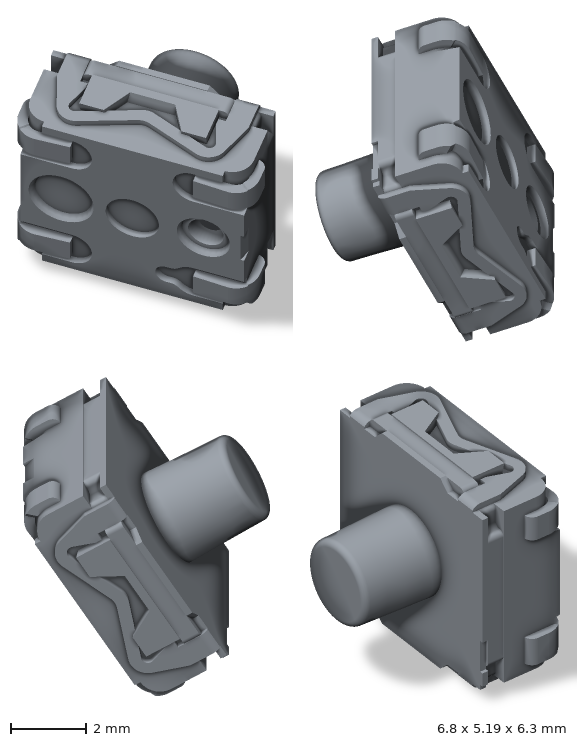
import cadquery as cq
import math

HALF_WIDTH = 3.155
HALF_HEIGHT = 2.815
HOUSING_BACK = 1.87
FLOOR = 0.18
STEP_HALF_WIDTH = 2.55
CORNER_RADIUS = HALF_WIDTH - STEP_HALF_WIDTH
CORNER_TOP = FLOOR + CORNER_RADIUS

TERMINAL_Z = 1.97
RECESS_END_X = 1.715
RECESS_RADIUS = 0.545
RECESS_DRAFT = 10.0
BUMP_X = 0.96
BUMP_RADIUS = 0.28
BUMP_BLEND = 0.37
TERMINAL_TOP = 1.18
TERMINAL_HALF_WIDTH = 3.4
TERMINAL_FRONT = -0.11
SHOULDER_RADIUS = 0.27
BEND_RADIUS = 0.665
PAD_END_X = 1.735
PAD_END_Y = -0.06
PAD_INNER_Z = 1.665
PAD_OUTER_Z = 2.34
BEND_INNER_Z = 1.62
BEND_OUTER_Z_UPPER = 2.37
BEND_OUTER_Z_LOWER = 2.48

DRAFT_SLOPE = math.tan(math.radians(RECESS_DRAFT))
BAND_HALF_FLOOR = TERMINAL_Z - RECESS_RADIUS
BAND_HALF_FRONT = BAND_HALF_FLOOR - FLOOR * DRAFT_SLOPE
BAND_HALF_BACK = BAND_HALF_FRONT + CORNER_TOP * DRAFT_SLOPE

COVER_UNDERSIDE = 2.38
CORE_HALF_WIDTH = 3.135
CORE_NECK_HALF_WIDTH = 2.795
CORE_SIDE_HALF = 2.12
CORE_EDGE_RADIUS = 0.155
CORE_INSIDE_RADIUS = 0.14
CORE_TAB_HALF_WIDTH = 2.055
CORE_TAB_TOP = 3.1

COVER_TOP = 2.57
COVER_HALF_WIDTH = CORE_HALF_WIDTH
COVER_TAB_TOP = 3.13
COVER_TAB_HALF = 1.28
COVER_TAB_ROOT_HALF = 1.6
COVER_NOTCH_TOP = -1.21
COVER_NOTCH_BOTTOM = -2.22
COVER_SETBACK = 0.1
COVER_STEP_TOP = -2.65
CLIP_OUTER_Z = 3.01
CLIP_OUTER_X = 2.7
CLIP_INNER_X = CORE_TAB_HALF_WIDTH
CLIP_STEP_X = 1.84
CLIP_STEP_Y = 1.65
CLIP_TOE_X = 2.19
CLIP_TOE_OUTER_Y = 0.135
CLIP_TOE_INNER_Y = 0.5
CLIP_APEX_OUTER_Y = 0.965
CLIP_APEX_INNER_Y = 1.33
CLIP_OUTER_BEND_Y = 1.64
CLIP_INNER_BEND_Y = 1.475
CLIP_TOE_OUTER_RADIUS = 0.53
CLIP_TOE_INNER_RADIUS = 0.18
CLIP_APEX_RADIUS = 0.475
CLIP_FOLD_Y = 2.325
CLIP_FOLD_DROP = 0.135

HOOK_HALF_WIDTH = 1.79
HOOK_BOTTOM = 0.82
HOOK_UNDERCUT = 0.075
HOOK_OUTER_Z = 3.15
HOOK_NOTCH_HALF_WIDE = 1.095
HOOK_NOTCH_HALF_NARROW = 0.63
HOOK_NOTCH_TOP = 1.63
HOOK_NOTCH_ROOT = 1.54

DIMPLE_DEPTH = 0.2
SIDE_DIMPLE_X = 2.005
LEFT_MOUTH_RADIUS = 0.92
LEFT_FLOOR_RADIUS = 0.795
SMALL_MOUTH_RADIUS = 1.5 / 2
RIGHT_FLOOR_RADIUS = 0.66
INNER_MOUTH_RADIUS = 0.5
INNER_FLOOR_RADIUS = 0.36
INNER_DEPTH = 0.41

EDGE_NOTCH_HALF = 0.5
EDGE_NOTCH_DEPTH = 0.11
EDGE_NOTCH_LENGTH = 0.34

PLUNGER_END = 5.08
PLUNGER_BASE_RADIUS = 1.34
PLUNGER_END_RADIUS = 1.26
PLUNGER_FILLET = 0.185

OVERLAP = 0.07
TOLERANCE = 0.001


def block(x0, x1, y0, y1, z0, z1):
    """Box between two corners."""
    return cq.Workplane("XY").box(x1 - x0, y1 - y0, z1 - z0, centered=False).translate((x0, y0, z0))


def mirror_x(shape):
    return shape.mirror("YZ")


def mirror_z(shape):
    return shape.mirror("XY")


def along_z(points, z0, z1):
    """Prism along Z over an XY outline."""
    return cq.Workplane("XY").workplane(offset=z0).polyline(points).close().extrude(z1 - z0)


def along_x(points, half_length):
    """Prism centred on X = 0 over a YZ outline."""
    return cq.Workplane("YZ").polyline(points).close().extrude(half_length, both=True)


def along_y(points, y0, y1):
    """Prism along Y over an XZ outline."""
    return cq.Workplane("XZ", origin=(0, y1, 0)).polyline(points).close().extrude(y1 - y0)


def cone_cut(x, y, mouth_radius, floor_radius, depth):
    """Round tapered hole entering along +Y."""
    axis = cq.Vector(0, 1, 0)
    return cq.Workplane(cq.Solid.makeCone(mouth_radius, floor_radius, depth, cq.Vector(x, y, 0), axis))


def corner_relief():
    """Material removed at the -X front edge, above and below the middle band.

    Above the band the rounding starts at once; below it a flat shelf runs on to the terminal.
    """
    edge = (
        cq.Workplane("XY").workplane(offset=-HALF_HEIGHT)
        .moveTo(-STEP_HALF_WIDTH, 0)
        .lineTo(-STEP_HALF_WIDTH, FLOOR)
        .radiusArc((-HALF_WIDTH, CORNER_TOP), CORNER_RADIUS)
        .lineTo(-HALF_WIDTH, 0)
        .close()
        .extrude(2 * HALF_HEIGHT)
    )
    band = along_x(
        [
            (0, BAND_HALF_FRONT),
            (CORNER_TOP, BAND_HALF_BACK),
            (CORNER_TOP, -PAD_INNER_Z),
            (FLOOR, -PAD_INNER_Z),
            (FLOOR, -BAND_HALF_FLOOR),
            (0, -BAND_HALF_FRONT),
        ],
        HALF_WIDTH,
    )
    return edge.cut(band)


def recess():
    """Drafted recess behind the upper -X pad, open to the side."""
    return (
        cq.Workplane("XZ", origin=(0, FLOOR, 0))
        .moveTo(-TERMINAL_HALF_WIDTH, TERMINAL_Z + RECESS_RADIUS)
        .lineTo(-RECESS_END_X, TERMINAL_Z + RECESS_RADIUS)
        .threePointArc(
            (RECESS_RADIUS - RECESS_END_X, TERMINAL_Z), (-RECESS_END_X, TERMINAL_Z - RECESS_RADIUS)
        )
        .lineTo(-TERMINAL_HALF_WIDTH, TERMINAL_Z - RECESS_RADIUS)
        .close()
        .extrude(FLOOR, taper=-RECESS_DRAFT)
    )


def keyed_recess():
    """Lower +X recess, whose round end carries a smaller, smoothly blended bump."""
    reach = RECESS_RADIUS + BUMP_BLEND
    rise = BUMP_RADIUS + BUMP_BLEND
    run = math.sqrt(reach**2 - rise**2)
    blend_x = RECESS_END_X - run
    share = RECESS_RADIUS / reach
    join_x = RECESS_END_X - run * share
    join_rise = rise * share
    top = -TERMINAL_Z + RECESS_RADIUS
    bottom = -TERMINAL_Z - RECESS_RADIUS
    return (
        cq.Workplane("XZ", origin=(0, FLOOR, 0))
        .moveTo(TERMINAL_HALF_WIDTH, top)
        .lineTo(RECESS_END_X, top)
        .radiusArc((join_x, -TERMINAL_Z + join_rise), -RECESS_RADIUS)
        .radiusArc((blend_x, -TERMINAL_Z + BUMP_RADIUS), BUMP_BLEND)
        .lineTo(BUMP_X, -TERMINAL_Z + BUMP_RADIUS)
        .threePointArc((BUMP_X - BUMP_RADIUS, -TERMINAL_Z), (BUMP_X, -TERMINAL_Z - BUMP_RADIUS))
        .lineTo(blend_x, -TERMINAL_Z - BUMP_RADIUS)
        .radiusArc((join_x, -TERMINAL_Z - join_rise), BUMP_BLEND)
        .radiusArc((RECESS_END_X, bottom), -RECESS_RADIUS)
        .lineTo(TERMINAL_HALF_WIDTH, bottom)
        .close()
        .extrude(FLOOR, taper=-RECESS_DRAFT)
    )


def edge_notch():
    """Sloping notch in the +X edge of the front face."""
    outline = [
        (HALF_WIDTH - EDGE_NOTCH_DEPTH, 0),
        (HALF_WIDTH, 0),
        (HALF_WIDTH, EDGE_NOTCH_LENGTH),
    ]
    return along_z(outline, -EDGE_NOTCH_HALF, EDGE_NOTCH_HALF)


def housing():
    body = block(-HALF_WIDTH, HALF_WIDTH, 0, HOUSING_BACK, -HALF_HEIGHT, HALF_HEIGHT)
    body = body.cut(corner_relief()).cut(mirror_x(corner_relief()))
    body = body.cut(recess()).cut(mirror_x(recess())).cut(mirror_z(recess())).cut(keyed_recess())
    body = body.cut(cone_cut(-SIDE_DIMPLE_X, 0, LEFT_MOUTH_RADIUS, LEFT_FLOOR_RADIUS, DIMPLE_DEPTH))
    body = body.cut(cone_cut(SIDE_DIMPLE_X, 0, SMALL_MOUTH_RADIUS, RIGHT_FLOOR_RADIUS, DIMPLE_DEPTH))
    body = body.cut(
        cone_cut(SIDE_DIMPLE_X, DIMPLE_DEPTH, INNER_MOUTH_RADIUS, INNER_FLOOR_RADIUS, INNER_DEPTH)
    )
    centre_dimple = cq.Workplane("XZ").circle(SMALL_MOUTH_RADIUS).extrude(-DIMPLE_DEPTH)
    return body.cut(centre_dimple).cut(edge_notch())


def terminal_strip(z0, z1):
    """Bent -X terminal of constant width between two heights."""
    bend_x = BEND_RADIUS - TERMINAL_HALF_WIDTH
    bend_y = TERMINAL_FRONT + BEND_RADIUS
    inner_x = bend_x - (bend_y - FLOOR)
    return (
        cq.Workplane("XY").workplane(offset=z0)
        .moveTo(inner_x, TERMINAL_TOP)
        .lineTo(SHOULDER_RADIUS - TERMINAL_HALF_WIDTH, TERMINAL_TOP)
        .radiusArc((-TERMINAL_HALF_WIDTH, TERMINAL_TOP - SHOULDER_RADIUS), -SHOULDER_RADIUS)
        .lineTo(-TERMINAL_HALF_WIDTH, bend_y)
        .radiusArc((bend_x, TERMINAL_FRONT), -BEND_RADIUS)
        .lineTo(-PAD_END_X, PAD_END_Y)
        .lineTo(-PAD_END_X, FLOOR)
        .lineTo(bend_x, FLOOR)
        .radiusArc((inner_x, bend_y), bend_y - FLOOR)
        .close()
        .extrude(z1 - z0)
    )


def terminal(bend_outer_z):
    """Upper -X terminal: wide down to the middle of the bend, then sloping to a narrower pad."""
    bend_x = BEND_RADIUS - TERMINAL_HALF_WIDTH
    bend_y = TERMINAL_FRONT + BEND_RADIUS
    reach = 2 * BEND_RADIUS
    pad_side = along_z(
        [
            (bend_x, bend_y),
            (bend_x - reach, bend_y - reach),
            (bend_x + reach, bend_y - reach),
            (bend_x + reach, bend_y),
        ],
        BEND_INNER_Z,
        bend_outer_z,
    )
    wide = terminal_strip(BEND_INNER_Z, bend_outer_z).cut(pad_side)
    across_bend = cq.selectors.ParallelDirSelector(cq.Vector(1, 1, 0))
    wide = wide.edges(across_bend).edges(">Z").chamfer(bend_outer_z - PAD_OUTER_Z)
    wide = wide.edges(across_bend).edges("<Z").chamfer(PAD_INNER_Z - BEND_INNER_Z)
    return wide.union(terminal_strip(PAD_INNER_Z, PAD_OUTER_Z))


def core():
    """Rim between housing and cover: stepped corners and a tab on top and bottom."""
    y0 = HOUSING_BACK - OVERLAP
    side = block(-CORE_HALF_WIDTH, CORE_HALF_WIDTH, y0, COVER_UNDERSIDE, -CORE_SIDE_HALF, CORE_SIDE_HALF)
    side = side.edges("|Y").fillet(CORE_EDGE_RADIUS)
    neck = block(
        -CORE_NECK_HALF_WIDTH, CORE_NECK_HALF_WIDTH, y0, COVER_UNDERSIDE, -HALF_HEIGHT, HALF_HEIGHT
    )
    neck = neck.edges("|Y").fillet(CORE_EDGE_RADIUS)
    tab = block(
        -CORE_TAB_HALF_WIDTH, CORE_TAB_HALF_WIDTH, HOUSING_BACK, COVER_UNDERSIDE, -CORE_TAB_TOP, CORE_TAB_TOP
    )
    tab = tab.edges("|Y").fillet(CORE_EDGE_RADIUS)
    inside_corners = side.union(neck).edges("|Y").filter(
        lambda edge: abs(abs(edge.Center().x) - CORE_NECK_HALF_WIDTH) < TOLERANCE
        and abs(abs(edge.Center().z) - CORE_SIDE_HALF) < TOLERANCE
    )
    return inside_corners.fillet(CORE_INSIDE_RADIUS).union(tab)


def clip_fold():
    """Material outside the curved fold where the clip legs leave the cover."""
    run = COVER_TOP - CLIP_FOLD_Y
    radius = (run**2 + CLIP_FOLD_DROP**2) / (2 * CLIP_FOLD_DROP)
    return (
        cq.Workplane("YZ")
        .moveTo(CLIP_FOLD_Y, CLIP_OUTER_Z)
        .radiusArc((COVER_TOP, CLIP_OUTER_Z - CLIP_FOLD_DROP), radius)
        .lineTo(COVER_TOP, CLIP_OUTER_Z)
        .close()
        .extrude(CLIP_OUTER_X, both=True)
    )


def clip():
    """Folded W-shaped spring clip on the upper face."""
    z0 = HALF_HEIGHT
    right_half = [
        (CLIP_OUTER_X, COVER_TOP),
        (CLIP_OUTER_X, CLIP_OUTER_BEND_Y),
        (CLIP_TOE_X, CLIP_TOE_OUTER_Y),
        (0, CLIP_APEX_OUTER_Y),
    ]
    left_half = [(-x, y) for x, y in reversed(right_half[:-1])]
    plate = along_z(right_half + left_half, z0, CLIP_OUTER_Z)
    plate = round_clip_edges(plate, CLIP_TOE_OUTER_Y, CLIP_TOE_OUTER_RADIUS, CLIP_APEX_OUTER_Y)
    plate = plate.cut(clip_fold())

    window_right = [
        (CLIP_INNER_X, COVER_TOP),
        (CLIP_INNER_X, CLIP_STEP_Y),
        (CLIP_STEP_X, CLIP_STEP_Y),
        (CLIP_STEP_X, CLIP_INNER_BEND_Y),
        (CLIP_TOE_X, CLIP_TOE_INNER_Y),
        (0, CLIP_APEX_INNER_Y),
    ]
    window_left = [(-x, y) for x, y in reversed(window_right[:-1])]
    window = along_z(window_right + window_left, z0, CLIP_OUTER_Z)
    window = round_clip_edges(window, CLIP_TOE_INNER_Y, CLIP_TOE_INNER_RADIUS, CLIP_APEX_INNER_Y)
    return plate.cut(window)


def round_clip_edges(shape, toe_y, toe_radius, apex_y):
    """Round the two toes and the middle apex of a clip outline."""
    def at_height(y):
        return lambda edge: abs(edge.Center().y - y) < TOLERANCE

    shape = shape.edges("|Z").filter(at_height(toe_y)).fillet(toe_radius)
    return shape.edges("|Z").filter(at_height(apex_y)).fillet(CLIP_APEX_RADIUS)


def hook():
    """Notched hook holding the upper clip."""
    z0 = HALF_HEIGHT - OVERLAP
    body = block(-HOOK_HALF_WIDTH, HOOK_HALF_WIDTH, HOOK_BOTTOM, HOUSING_BACK, z0, HOOK_OUTER_Z)
    notch = along_z(
        [
            (-HOOK_NOTCH_HALF_WIDE, HOOK_BOTTOM),
            (HOOK_NOTCH_HALF_WIDE, HOOK_BOTTOM),
            (HOOK_NOTCH_HALF_NARROW, HOOK_NOTCH_TOP),
            (-HOOK_NOTCH_HALF_NARROW, HOOK_NOTCH_TOP),
        ],
        HALF_HEIGHT,
        HOOK_OUTER_Z,
    )
    slope = along_x(
        [
            (HOOK_BOTTOM, HALF_HEIGHT),
            (HOOK_NOTCH_ROOT, HALF_HEIGHT),
            (HOOK_NOTCH_TOP, HOOK_OUTER_Z),
            (HOOK_BOTTOM, HOOK_OUTER_Z),
        ],
        HOOK_HALF_WIDTH,
    )
    undercut = along_x(
        [(HOOK_BOTTOM, HOOK_OUTER_Z), (HOOK_BOTTOM + HOOK_UNDERCUT, z0), (HOOK_BOTTOM, z0)],
        HOOK_HALF_WIDTH,
    )
    return body.cut(notch.intersect(slope)).cut(undercut)


def cover():
    """Flat plate with a tapered tab above and below, and a -X edge set back in two places."""
    plate = block(
        -COVER_HALF_WIDTH, COVER_HALF_WIDTH, COVER_UNDERSIDE, COVER_TOP, -HALF_HEIGHT, HALF_HEIGHT
    )
    tabs = along_y(
        [
            (-COVER_TAB_ROOT_HALF, HALF_HEIGHT),
            (-COVER_TAB_HALF, COVER_TAB_TOP),
            (COVER_TAB_HALF, COVER_TAB_TOP),
            (COVER_TAB_ROOT_HALF, HALF_HEIGHT),
            (COVER_TAB_ROOT_HALF, -HALF_HEIGHT),
            (COVER_TAB_HALF, -COVER_TAB_TOP),
            (-COVER_TAB_HALF, -COVER_TAB_TOP),
            (-COVER_TAB_ROOT_HALF, -HALF_HEIGHT),
        ],
        COVER_UNDERSIDE,
        COVER_TOP,
    )
    plate = plate.union(tabs)
    for bottom, top in ((COVER_NOTCH_BOTTOM, COVER_NOTCH_TOP), (-HALF_HEIGHT, COVER_STEP_TOP)):
        setback = block(
            -COVER_HALF_WIDTH, COVER_SETBACK - COVER_HALF_WIDTH, COVER_UNDERSIDE, COVER_TOP, bottom, top
        )
        plate = plate.cut(setback)
    return plate


def plunger():
    """Tapered round plunger with a rounded end."""
    base = cq.Vector(0, COVER_TOP - OVERLAP, 0)
    length = PLUNGER_END - COVER_TOP + OVERLAP
    pin = cq.Solid.makeCone(PLUNGER_BASE_RADIUS, PLUNGER_END_RADIUS, length, base, cq.Vector(0, 1, 0))
    return cq.Workplane(pin).faces(">Y").edges().fillet(PLUNGER_FILLET)


result = housing().union(core()).union(cover()).union(plunger())
for upper_part in (hook(), clip()):
    result = result.union(upper_part).union(mirror_z(upper_part))
for left_terminal in (terminal(BEND_OUTER_Z_UPPER), mirror_z(terminal(BEND_OUTER_Z_LOWER))):
    result = result.union(left_terminal).union(mirror_x(left_terminal))